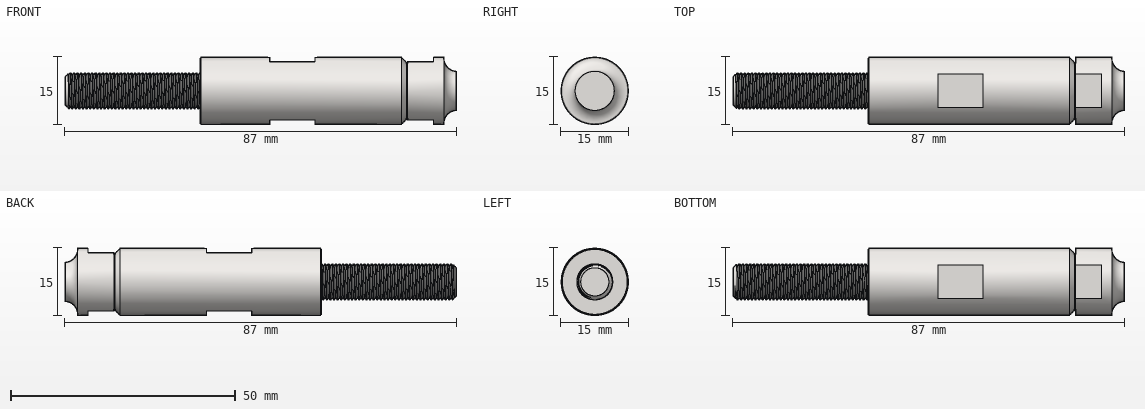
import cadquery as cq
import math

total_length = 87.0
stud_length = 30.0
stud_embed = 0.9
groove_start = 75.9
groove_width = 0.3
nose_length = 2.8

body_radius = 7.5
groove_radius = 6.1
nose_tip_radius = 4.35
stud_radius = 4.0

shoulder_chamfer = 0.3
body_end_chamfer = 1.1
stud_end_chamfer = 0.9
nose_shoulder_step = 0.2

thread_pitch = 0.8
thread_depth = 0.4
thread_crest_share = 0.2
thread_runout = 0.4
cutter_clearance = 0.04

flat_distance = 13.0
body_flat_start = 45.5
body_flat_length = 10.0
head_flat_length = 5.7

groove_end = groove_start + groove_width
nose_start = total_length - nose_length
nose_shoulder_radius = body_radius - nose_shoulder_step


def turned_body():
    """Revolve the body, groove, head and concave nose about X."""
    nose_rise = nose_shoulder_radius - nose_tip_radius
    nose_mid = (
        total_length - nose_length * math.cos(math.pi / 4),
        nose_shoulder_radius - nose_rise * math.sin(math.pi / 4),
    )
    profile = (
        cq.Workplane("XY")
        .moveTo(stud_length, 0)
        .lineTo(stud_length, body_radius - shoulder_chamfer)
        .lineTo(stud_length + shoulder_chamfer, body_radius)
        .lineTo(groove_start - body_end_chamfer, body_radius)
        .lineTo(groove_start, body_radius - body_end_chamfer)
        .lineTo(groove_start, groove_radius)
        .lineTo(groove_end, groove_radius)
        .lineTo(groove_end, body_radius)
        .lineTo(nose_start, body_radius)
        .lineTo(nose_start, nose_shoulder_radius)
        .threePointArc(nose_mid, (total_length, nose_tip_radius))
        .lineTo(total_length, 0)
        .close()
    )
    return profile.revolve(360, (0, 0, 0), (1, 0, 0))


def thread_cutter():
    """Sweep a V-shaped groove along a helix that winds around the stud."""
    root_radius = stud_radius - thread_depth
    half_mouth = thread_pitch * (1 - thread_crest_share) / 2
    half_outer = half_mouth * (thread_depth + cutter_clearance) / thread_depth
    start = -thread_pitch
    length = stud_length + stud_embed - thread_runout - start
    helix = cq.Wire.makeHelix(
        thread_pitch, length, root_radius, cq.Vector(start, 0, 0), cq.Vector(1, 0, 0)
    )
    begin = helix.startPoint()
    radial = cq.Vector(0, begin.y, begin.z).normalized()
    normal = cq.Vector(1, 0, 0).cross(radial)
    plane = cq.Plane(origin=begin, xDir=(1, 0, 0), normal=normal)
    rise = thread_depth + cutter_clearance
    groove = cq.Workplane(plane).polyline([(0, 0), (half_outer, rise), (-half_outer, rise)]).close()
    return groove.sweep(cq.Workplane(obj=helix), isFrenet=True)


def stud_chamfer_cutter():
    """Ring of triangular section that bevels the free end of the stud."""
    inner = stud_radius - stud_end_chamfer
    outer = stud_radius + cutter_clearance
    section = (
        cq.Workplane("XY")
        .polyline([
            (-cutter_clearance, inner - cutter_clearance),
            (stud_end_chamfer + cutter_clearance, outer),
            (-cutter_clearance, outer),
        ])
        .close()
    )
    return section.revolve(360, (0, 0, 0), (1, 0, 0))


def threaded_stud():
    """Plain stud with the thread cut first and the end chamfered afterwards."""
    stud = cq.Workplane("YZ").circle(stud_radius).extrude(stud_length + stud_embed)
    return stud.cut(thread_cutter()).cut(stud_chamfer_cutter())


def flat_pair(start, length):
    """Blocks that leave two parallel flats facing +Z and -Z."""
    width = 2 * body_radius
    height = body_radius
    blocks = cq.Workplane("XY")
    for side in (1, -1):
        centre = (start + length / 2, 0, side * (flat_distance + height) / 2)
        blocks = blocks.union(cq.Workplane("XY").box(length, width, height).translate(centre))
    return blocks


result = turned_body()
result = result.cut(flat_pair(body_flat_start, body_flat_length))
result = result.cut(flat_pair(groove_end, head_flat_length))
result = result.union(threaded_stud())